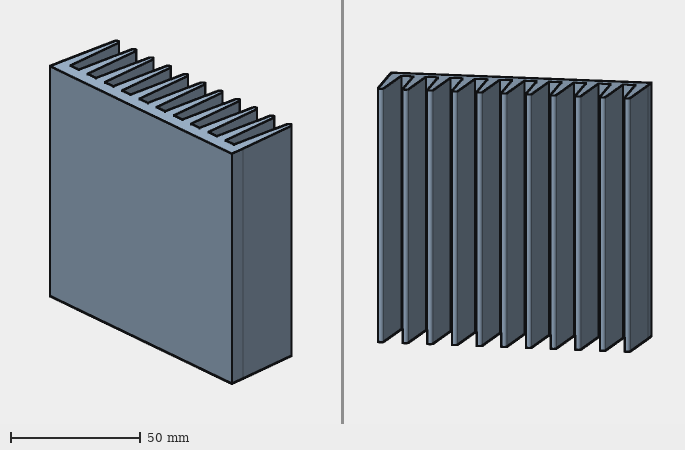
import cadquery as cq

width = 103.0
depth = 34.0
height = 100.0

base_thickness = 6.1
base_side_inset = 0.2

fin_count = 11
fin_root_width = 4.9
tip_radius = 1.1

root_y = base_thickness
tip_start_y = depth - tip_radius
plate_top_width = width - 2 * base_side_inset
fin_pitch = (plate_top_width - fin_root_width) / (fin_count - 1)


def add_fin(outline, center_x):
    """Trace one fin from its right root, over the round tip, to its left root."""
    return (
        outline.lineTo(center_x + fin_root_width / 2, root_y)
        .lineTo(center_x + tip_radius, tip_start_y)
        .threePointArc((center_x, depth), (center_x - tip_radius, tip_start_y))
        .lineTo(center_x - fin_root_width / 2, root_y)
    )


profile = cq.Workplane("XY").moveTo(-width / 2, 0).lineTo(width / 2, 0)
for index in range(fin_count):
    fin_center_x = ((fin_count - 1) / 2 - index) * fin_pitch
    profile = add_fin(profile, fin_center_x)

result = profile.close().extrude(height)